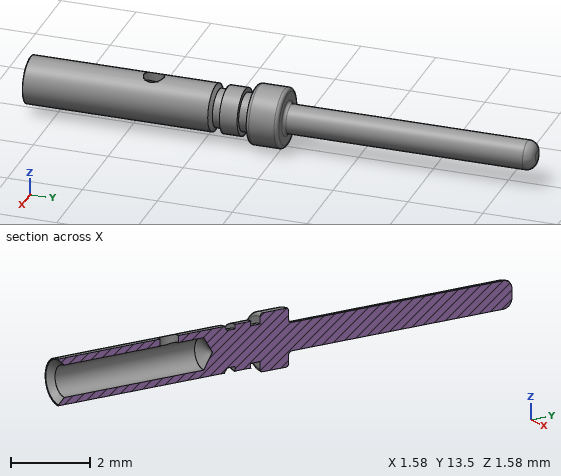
import cadquery as cq
import math

total_length = 13.52
open_end = -total_length / 2

pin_diameter = 0.77
collar_diameter = 1.58
barrel_diameter = 1.26
groove_diameter = 1.01
mouth_diameter = 1.19
bore_diameter = 0.85
hole_diameter = 0.54

barrel_length = 4.95
barrel_taper = 0.08
lower_groove_end = 5.26
ring_end = 5.73
collar_start = 6.0
collar_end = 6.87
bore_depth = 4.33
hole_distance = 3.3

collar_fillet = 0.1
pin_root_fillet = 0.08
tip_fillet = 0.26
drill_point_angle = 118.0


def cylinder(diameter, start, end):
    """Solid cylinder on the part axis between two distances from the open end."""
    base = cq.Workplane("XZ", origin=(0, open_end + start, 0))
    return base.circle(diameter / 2).extrude(start - end)


def cone(start_diameter, end_diameter, start, end):
    """Solid cone or frustum on the part axis, between two distances from the open end."""
    return cq.Workplane(
        cq.Solid.makeCone(
            start_diameter / 2,
            end_diameter / 2,
            end - start,
            cq.Vector(0, open_end + start, 0),
            cq.Vector(0, 1, 0),
        )
    )


def make_body():
    """Barrel, grooves and retaining ring, collar and contact pin."""
    taper_end = barrel_length + barrel_taper
    barrel = cylinder(barrel_diameter, 0, barrel_length)
    taper = cone(barrel_diameter, groove_diameter, barrel_length, taper_end)
    core = cylinder(groove_diameter, barrel_length, collar_end - collar_fillet)
    ring = cylinder(barrel_diameter, lower_groove_end, ring_end)
    collar = cylinder(collar_diameter, collar_start, collar_end).edges().fillet(collar_fillet)
    pin = cylinder(pin_diameter, collar_start, total_length).faces(">Y").edges().fillet(tip_fillet)
    return barrel.union(taper).union(core).union(ring).union(collar).union(pin).union(make_pin_root())


def make_pin_root():
    """Concave fillet ring where the pin leaves the collar."""
    pin_radius = pin_diameter / 2
    collar_face = open_end + collar_end
    bend = pin_root_fillet * (1 - math.sqrt(0.5))
    return (
        cq.Workplane("XY")
        .moveTo(0, collar_face)
        .lineTo(pin_radius + pin_root_fillet, collar_face)
        .threePointArc(
            (pin_radius + bend, collar_face + bend),
            (pin_radius, collar_face + pin_root_fillet),
        )
        .lineTo(0, collar_face + pin_root_fillet)
        .close()
        .revolve(360, (0, 0, 0), (0, 1, 0))
    )


def make_bore():
    """Wire bore with a 45 degree countersunk mouth and a conical drill point."""
    countersink_depth = (mouth_diameter - bore_diameter) / 2
    point_depth = bore_diameter / 2 / math.tan(math.radians(drill_point_angle / 2))
    countersink = cone(mouth_diameter, bore_diameter, 0, countersink_depth)
    bore = cylinder(bore_diameter, 0, bore_depth)
    drill_point = cone(bore_diameter, 0, bore_depth, bore_depth + point_depth)
    return bore.union(countersink).union(drill_point)


def make_inspection_hole():
    """Radial hole through the upper barrel wall, stopping inside the bore."""
    base = cq.Workplane("XY", origin=(0, open_end + hole_distance, 0))
    return base.circle(hole_diameter / 2).extrude(barrel_diameter)


result = make_body().cut(make_bore()).cut(make_inspection_hole())